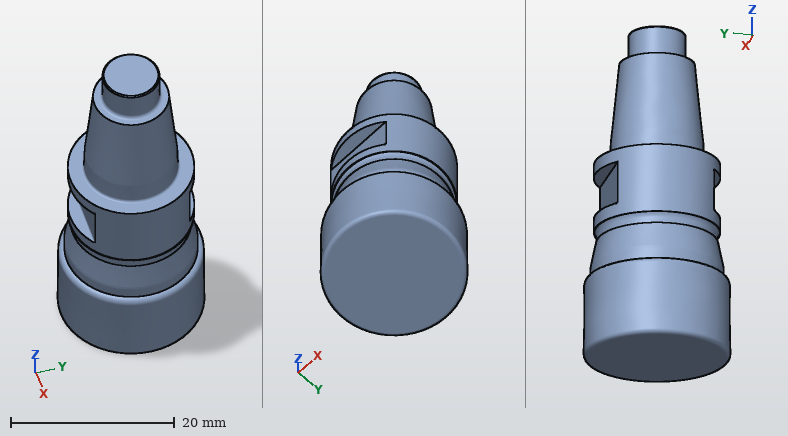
import cadquery as cq

total_height = 42.0
nut_top = 10.0
band_top = 11.4
cone_bottom = 11.7
cone_top = 14.8
cone_lip_top = 14.9
neck_top = 15.65
collar_bottom = 16.3
collar_top = 25.05
taper_bottom = 27.85
taper_top = 38.05

nut_base_diameter = 18.0
nut_upper_diameter = 17.9
nut_base_round = 0.55

tip_diameter = 7.0
neck_diameter = 14.9
cone_top_diameter = 15.05
collar_diameter = 15.5
band_diameter = 16.4
taper_top_diameter = 9.32
taper_bottom_diameter = 11.4
root_diameter = 11.55

tip_chamfer = 0.15
tip_fillet = 0.45
root_fillet = 0.35
neck_undercut_diameter = 15.35
band_round = 0.05

flat_spacing = 12.1
flat_bottom = 17.98
flat_height = 5.38
flat_fillet = 0.25


def make_nut():
    """Solid of revolution whose upper round runs in to the foot of the shaft."""
    base_radius = nut_base_diameter / 2
    upper_radius = nut_upper_diameter / 2
    band_radius = band_diameter / 2
    top_round = upper_radius - band_radius
    return (
        cq.Workplane("XZ")
        .lineTo(base_radius - nut_base_round, 0)
        .radiusArc((base_radius, nut_base_round), -nut_base_round)
        .lineTo(upper_radius, nut_top - top_round)
        .radiusArc((band_radius, nut_top), -top_round)
        .lineTo(0, nut_top)
        .close()
        .revolve(360, (0, 0), (0, 1))
    )


def make_shaft_blank():
    """Turned shaft: band, cone, neck, collar, taper and tip."""
    band_radius = band_diameter / 2
    neck_radius = neck_diameter / 2
    collar_radius = collar_diameter / 2
    root_radius = root_diameter / 2
    tip_radius = tip_diameter / 2
    return (
        cq.Workplane("XZ")
        .moveTo(0, nut_top)
        .lineTo(band_radius, nut_top)
        .lineTo(band_radius, band_top)
        .lineTo(band_radius - band_round, cone_bottom)
        .lineTo(cone_top_diameter / 2, cone_top)
        .lineTo(neck_radius, cone_lip_top)
        .lineTo(neck_radius, neck_top)
        .tangentArcPoint((neck_undercut_diameter / 2, collar_bottom), relative=False)
        .lineTo(collar_radius, collar_bottom)
        .lineTo(collar_radius, collar_top)
        .lineTo(root_radius + root_fillet, collar_top)
        .radiusArc((root_radius, collar_top + root_fillet), root_fillet)
        .lineTo(taper_bottom_diameter / 2, taper_bottom)
        .lineTo(taper_top_diameter / 2, taper_top)
        .lineTo(tip_radius + tip_fillet, taper_top)
        .radiusArc((tip_radius, taper_top + tip_fillet), tip_fillet)
        .lineTo(tip_radius, total_height - tip_chamfer)
        .lineTo(tip_radius - tip_chamfer, total_height)
        .lineTo(0, total_height)
        .close()
        .revolve(360, (0, 0), (0, 1))
    )


def make_flat_cutter(side):
    """Block that cuts one flat; its inner bottom edge leaves a fillet in the corner."""
    depth = collar_diameter / 2
    cutter = cq.Workplane("XY").box(collar_diameter, depth, flat_height)
    inner_face = "<Y" if side > 0 else ">Y"
    cutter = cutter.faces(inner_face).edges("<Z").fillet(flat_fillet)
    return cutter.translate((0, side * (flat_spacing + depth) / 2, flat_bottom + flat_height / 2))


nut = make_nut()

shaft = make_shaft_blank()
for side in (-1, 1):
    shaft = shaft.cut(make_flat_cutter(side))

result = cq.Compound.makeCompound([nut.val(), shaft.val()])